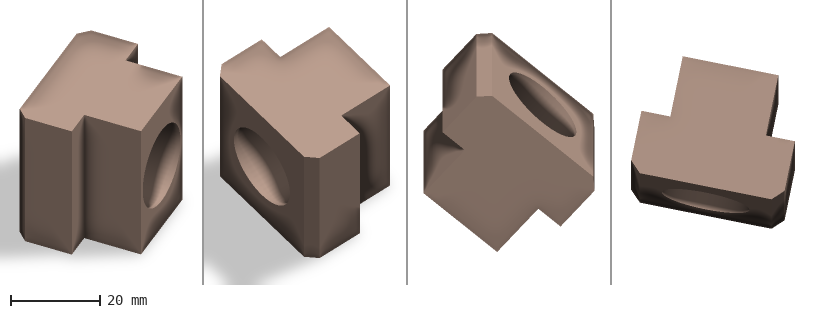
import cadquery as cq

depth = 28.0
width = 35.0
height = 35.0

head_depth = depth / 2
stem_width = 21.8
head_chamfer = 2.5

bore_diameter = 20.0


def make_head():
    """Wide plate with its two outer vertical edges chamfered."""
    plate = cq.Workplane("XY").box(head_depth, width, height, centered=(False, True, True))
    return plate.faces("<X").edges("|Z").chamfer(head_chamfer)


def make_stem():
    """Narrower block running the full depth through the head."""
    return cq.Workplane("XY").box(depth, stem_width, height, centered=(False, True, True))


def make_bore():
    """Cylinder that passes through the head and the stem."""
    return cq.Workplane("YZ").circle(bore_diameter / 2).extrude(depth)


result = make_head().union(make_stem()).cut(make_bore())